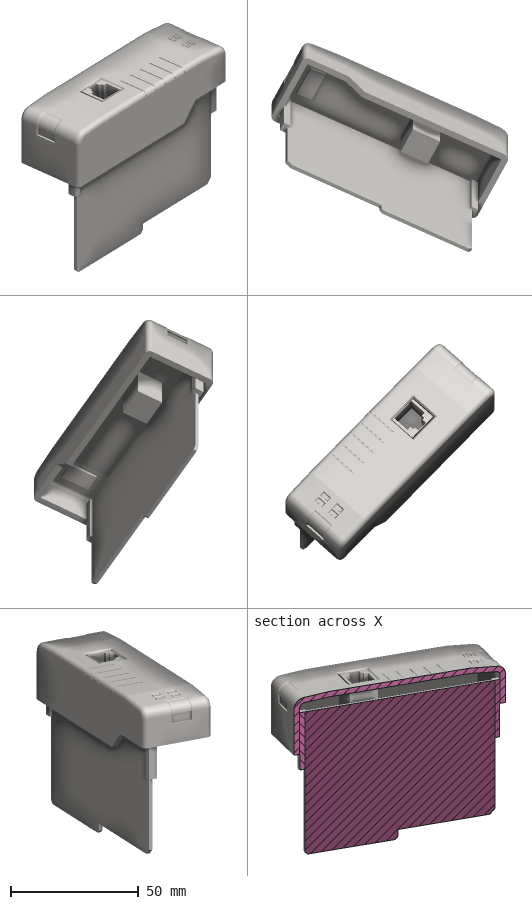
import cadquery as cq
import math


WIDTH = 30.5
LENGTH = 90.0
HEIGHT = 25.0
TOTAL_HEIGHT = 68.21
WALL = 2.5
EDGE_RADIUS = 2.1
CHAMFER_ANGLE = 45
HALF_WIDTH = WIDTH / 2
HALF_LENGTH = LENGTH / 2

FRONT, BACK = -1, 1
FLAT_REACH = {FRONT: 30.0, BACK: 29.8}
END_DROP = {FRONT: 1.05, BACK: 1.48}
END_RADIUS = {FRONT: 4.75, BACK: 4.0}

BACK_BOTTOM = 7.6
RAMP_BACK = 25.65
RAMP_FRONT = 18.6

LATCH_X = -1.75
LATCH_WIDTH = 9.2
LATCH_DRAFT = 0.3
LATCH_DEPTH = 0.2
LATCH_INNER_Y = 40.0
POCKET_DEPTH = 0.85
POCKET_BOTTOM = 16.0

LED_COLUMNS = 2
LED_ROWS = 2
LED_X_PITCH = 7.05
LED_Y_PITCH = 3.0
LED_MIDDLE_Y = 34.9
LED_SIZE = (3.15, 1.5)
LED_CHAMFER = 0.45

GROOVE_COUNT = 5
GROOVE_PITCH = 5.76
GROOVE_MIDDLE_Y = 7.5
GROOVE_WIDTH = 0.7
GROOVE_START_X = 2.0
GROOVE_DEPTH = 0.25
GROOVE_CORNER_RADIUS = 1.3

OPENING_X = 0.5
OPENING_Y = -13.8
OPENING_SIZE = (11.6, 12.6)
OPENING_CHAMFER = 0.57

PIPE_MARGIN = 1.0
PIPE_BASE_THICKNESS = 1.5
PIPE_RECESS = 0.1

BOARD_THICKNESS = 1.5
BOARD_X = 9.75
BOARD_HALF_LENGTH = 40.45
BOARD_TOP = 18.0
BOARD_BOTTOM = HEIGHT - TOTAL_HEIGHT
BOARD_STEP = 4.1
BOARD_STEP_Y = -0.65
BACK_CORNER_CUT = 2.2
FRONT_CORNER_CUT = 1.3

RAIL_WIDTH = 3.55
RAIL_INNER_Y = 39.6
RAIL_OUTER_Y = HALF_LENGTH - WALL
RAIL_BOTTOM = -6.7

JACK_LEFT = -4.8
JACK_RIGHT = 6.05
JACK_Y = -13.65
JACK_LENGTH = 11.9
JACK_TOP = HEIGHT - 0.3
JACK_BOTTOM = 10.0
SOCKET_DEPTH = 9.0
SOCKET_RIGHT = 5.8
SOCKET_STEPS = [(-1.25, 4.9), (-2.6, 3.22), (-4.53, 2.2)]


def slope_angle(end):
    return math.atan2(END_DROP[end], HALF_LENGTH - FLAT_REACH[end])


def end_round(end, depth):
    """(Y, Z) of the start, middle and finish of an end round, set in by depth."""
    radius = END_RADIUS[end]
    tilt = slope_angle(end)
    centre_y = HALF_LENGTH - radius
    normal_rise = radius / math.cos(tilt)
    slope_z = HEIGHT - (centre_y - FLAT_REACH[end]) * math.tan(tilt)
    centre_z = slope_z - normal_rise
    inset_radius = radius - depth
    points = []
    for angle in (math.pi / 2 - tilt, (math.pi / 2 - tilt) / 2, 0):
        y = centre_y + inset_radius * math.cos(angle)
        z = centre_z + inset_radius * math.sin(angle)
        points.append((end * y, z))
    return points


def slope_height(end, y, depth):
    """Height of the sloped top at distance y from the middle, set in by depth."""
    tilt = slope_angle(end)
    return HEIGHT - (y - FLAT_REACH[end]) * math.tan(tilt) - depth / math.cos(tilt)


def lengthwise_block(depth):
    """Side outline of the housing set in by depth, open below, as a block along X."""
    front = end_round(FRONT, depth)
    back = end_round(BACK, depth)
    half_length = HALF_LENGTH - depth
    top = HEIGHT - depth
    front_break = FLAT_REACH[FRONT] - depth * math.tan(slope_angle(FRONT) / 2)
    back_break = FLAT_REACH[BACK] - depth * math.tan(slope_angle(BACK) / 2)
    return (
        cq.Workplane("YZ")
        .moveTo(-half_length, 0)
        .lineTo(*front[2])
        .threePointArc(front[1], front[0])
        .lineTo(-front_break, top)
        .lineTo(back_break, top)
        .lineTo(*back[0])
        .threePointArc(back[1], back[2])
        .lineTo(half_length, 0)
        .close()
        .extrude(HALF_WIDTH - depth, both=True)
    )


def back_underside():
    """Space below the raised back part of the housing."""
    return (
        cq.Workplane("YZ")
        .moveTo(RAMP_FRONT, 0)
        .lineTo(RAMP_BACK, BACK_BOTTOM)
        .lineTo(LENGTH, BACK_BOTTOM)
        .lineTo(LENGTH, 0)
        .close()
        .extrude(WIDTH, both=True)
    )


def latch_section(end, x, depth, run):
    """Cross-section of a latch recess at x: floor at the given depth, inner end moved out by run."""
    start, middle, finish = end_round(end, depth)
    outside_y = end * (HALF_LENGTH + WALL)
    outside_z = HEIGHT + WALL
    inner_y = LATCH_INNER_Y + run
    bottom_z = end_round(end, 0)[2][1]
    return (
        cq.Workplane("YZ", origin=(x, 0, 0))
        .moveTo(end * LATCH_INNER_Y, outside_z)
        .lineTo(end * LATCH_INNER_Y, slope_height(end, LATCH_INNER_Y, 0))
        .lineTo(end * inner_y, slope_height(end, inner_y, depth))
        .lineTo(*start)
        .threePointArc(middle, finish)
        .lineTo(outside_y, bottom_z)
        .lineTo(outside_y, outside_z)
        .close()
        .val()
    )


def latch_recess(end):
    """Recess with drafted walls that follows the sloped top and the round of one end."""
    outer = LATCH_WIDTH / 2
    inner = outer - LATCH_DRAFT
    barely = LATCH_DRAFT / 100
    sections = [
        latch_section(end, LATCH_X - outer, 0, barely),
        latch_section(end, LATCH_X - inner, LATCH_DEPTH, LATCH_DRAFT),
        latch_section(end, LATCH_X + inner, LATCH_DEPTH, LATCH_DRAFT),
        latch_section(end, LATCH_X + outer, 0, barely),
    ]
    return cq.Workplane(cq.Solid.makeLoft(sections, True))


def finger_pocket(end):
    """Deeper pocket with drafted sides in the end wall, right below the latch recess."""
    outer = LATCH_WIDTH / 2
    inner = outer - LATCH_DRAFT
    wall_y = end * HALF_LENGTH
    floor_y = end * (HALF_LENGTH - POCKET_DEPTH)
    top_z = end_round(end, 0)[2][1]
    return (
        cq.Workplane("XY", origin=(LATCH_X, 0, POCKET_BOTTOM))
        .polyline([(-outer, wall_y), (outer, wall_y), (inner, floor_y), (-inner, floor_y)])
        .close()
        .extrude(top_z - POCKET_BOTTOM)
    )


def back_slope(depth):
    """Workplane on the back slope at the middle of the windows, set in by depth."""
    tilt = slope_angle(BACK)
    plane = cq.Plane(
        origin=(0, LED_MIDDLE_Y, slope_height(BACK, LED_MIDDLE_Y, 0)),
        xDir=(1, 0, 0),
        normal=(0, math.sin(tilt), math.cos(tilt)),
    )
    return cq.Workplane(plane).workplane(offset=-depth)


def led_rectangles(workplane, margin):
    """Grid of rectangles of the window size, grown by margin on every side."""
    size_x, size_y = LED_SIZE
    centres = workplane.rarray(LED_X_PITCH, LED_Y_PITCH, LED_COLUMNS, LED_ROWS)
    return centres.rect(size_x + 2 * margin, size_y + 2 * margin)


def led_windows():
    """Grid of holes through the back slope, each with a chamfered rim."""
    holes = led_rectangles(back_slope(0), 0).extrude(-WALL - PIPE_BASE_THICKNESS)
    rims = led_rectangles(back_slope(0), LED_CHAMFER).extrude(-LED_CHAMFER, taper=CHAMFER_ANGLE)
    return holes.union(rims)


def groove(y):
    """Shallow groove across the top that wraps over the right edge."""
    floor_z = HEIGHT - GROOVE_DEPTH
    floor_x = HALF_WIDTH - GROOVE_DEPTH
    end_z = HEIGHT - EDGE_RADIUS
    return (
        cq.Workplane("XZ", origin=(0, y + GROOVE_WIDTH / 2, 0))
        .moveTo(GROOVE_START_X, HEIGHT + WALL)
        .lineTo(GROOVE_START_X, floor_z)
        .lineTo(floor_x - GROOVE_CORNER_RADIUS, floor_z)
        .radiusArc((floor_x, floor_z - GROOVE_CORNER_RADIUS), GROOVE_CORNER_RADIUS)
        .lineTo(floor_x, end_z)
        .lineTo(HALF_WIDTH + WALL, end_z)
        .lineTo(HALF_WIDTH + WALL, HEIGHT + WALL)
        .close()
        .extrude(GROOVE_WIDTH)
    )


def jack_opening():
    """Hole through the top wall with a chamfered rim."""
    size_x, size_y = OPENING_SIZE
    rim = 2 * OPENING_CHAMFER
    top = cq.Workplane("XY", origin=(OPENING_X, OPENING_Y, HEIGHT))
    hole = top.rect(size_x, size_y).extrude(-2 * WALL)
    chamfer = top.rect(size_x + rim, size_y + rim).extrude(-OPENING_CHAMFER, taper=CHAMFER_ANGLE)
    return hole.union(chamfer)


def build_housing():
    shell = lengthwise_block(0)
    shell = shell.faces("<X or >X").edges("not <Z").fillet(EDGE_RADIUS)
    shell = shell.cut(lengthwise_block(WALL)).cut(back_underside())
    for end in (FRONT, BACK):
        shell = shell.cut(latch_recess(end)).cut(finger_pocket(end))
    shell = shell.cut(led_windows())
    for index in range(GROOVE_COUNT):
        offset = index - (GROOVE_COUNT - 1) / 2
        shell = shell.cut(groove(GROOVE_MIDDLE_Y + offset * GROOVE_PITCH))
    return shell.cut(jack_opening())


def build_board():
    """Flat board with a deeper front half and cut lower corners."""
    back_bottom = BOARD_BOTTOM + BOARD_STEP
    cut = FRONT_CORNER_CUT
    return (
        cq.Workplane("YZ", origin=(BOARD_X, 0, 0))
        .moveTo(-BOARD_HALF_LENGTH, BOARD_TOP)
        .lineTo(-BOARD_HALF_LENGTH, BOARD_BOTTOM + cut)
        .lineTo(-BOARD_HALF_LENGTH + cut, BOARD_BOTTOM)
        .lineTo(BOARD_STEP_Y - cut, BOARD_BOTTOM)
        .lineTo(BOARD_STEP_Y, BOARD_BOTTOM + cut)
        .lineTo(BOARD_STEP_Y, back_bottom)
        .lineTo(BOARD_HALF_LENGTH - BACK_CORNER_CUT, back_bottom)
        .lineTo(BOARD_HALF_LENGTH, back_bottom + BACK_CORNER_CUT)
        .lineTo(BOARD_HALF_LENGTH, BOARD_TOP)
        .close()
        .extrude(BOARD_THICKNESS / 2, both=True)
    )


def build_rail(end):
    """Upright bar against an end wall, slotted for the edge of the board."""
    length = RAIL_OUTER_Y - RAIL_INNER_Y
    middle_y = end * (RAIL_OUTER_Y + RAIL_INNER_Y) / 2
    base = cq.Workplane("XY", origin=(BOARD_X, 0, RAIL_BOTTOM))
    height = BOARD_TOP - RAIL_BOTTOM
    bar = base.center(0, middle_y).rect(RAIL_WIDTH, length).extrude(height)
    slot = base.rect(BOARD_THICKNESS, 2 * BOARD_HALF_LENGTH).extrude(height)
    return bar.cut(slot)


def build_jack():
    """Block standing in the opening, just below the top face, with a stepped socket in its top."""
    top = cq.Workplane("XY", origin=(0, JACK_Y, JACK_TOP))
    width = JACK_RIGHT - JACK_LEFT
    outline = top.center(JACK_LEFT + width / 2, 0).rect(width, JACK_LENGTH)
    jack = outline.extrude(JACK_BOTTOM - JACK_TOP)
    for left, half_length in SOCKET_STEPS:
        socket_width = SOCKET_RIGHT - left
        step = top.center(left + socket_width / 2, 0).rect(socket_width, 2 * half_length)
        jack = jack.cut(step.extrude(-SOCKET_DEPTH))
    return jack


def build_light_pipe():
    """Plate against the inside of the back slope, with one post in each window."""
    base_x = (LED_COLUMNS - 1) * LED_X_PITCH + LED_SIZE[0] + 2 * PIPE_MARGIN
    base_y = (LED_ROWS - 1) * LED_Y_PITCH + LED_SIZE[1] + 2 * PIPE_MARGIN
    base = back_slope(WALL).rect(base_x, base_y).extrude(-PIPE_BASE_THICKNESS)
    posts = led_rectangles(back_slope(PIPE_RECESS), 0).extrude(PIPE_RECESS - WALL)
    return base.union(posts)


housing = build_housing()
light_pipe = build_light_pipe()
board = build_board()
rails = [build_rail(end) for end in (FRONT, BACK)]
jack = build_jack()

result = cq.Compound.makeCompound(
    [housing.val(), light_pipe.val(), board.val(), *[rail.val() for rail in rails], jack.val()]
)